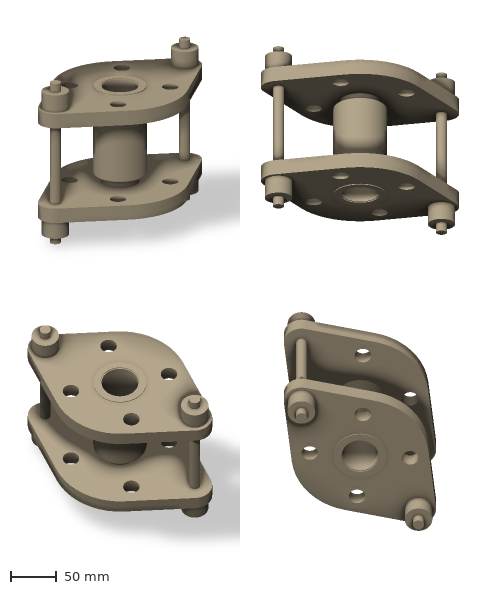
import cadquery as cq
import math

plate_length = 230.9
plate_width = 150.0
plate_outer_z = 64.0
plate_inner_z = 47.0
plate_tip_radius = 19.2
raised_face_height = 1.0
raised_face_radius = 29.0

bolt_hole_spacing = 77.8
bolt_hole_diameter = 18.0

body_radius = 29.3
neck_radius = 21.5
shoulder_bottom_z = 36.2
shoulder_top_z = 42.0
bore_radius = 20.0
bore_mouth_radius = 21.2

rod_length = 188.0
rod_radius = 6.0
nut_radius = 15.0
nut_height = 20.0

face_z = plate_outer_z + raised_face_height
plate_thickness = plate_outer_z - plate_inner_z
plate_side_radius = plate_width / 2
rod_y = plate_length / 2 - plate_tip_radius


def make_plate():
    """Upper plate: tip arcs and side arcs joined by tangent lines, with bolt holes."""
    tangent_sin = (plate_side_radius - plate_tip_radius) / rod_y
    tangent_cos = math.sqrt(1 - tangent_sin**2)
    side_x = plate_side_radius * tangent_cos
    side_y = plate_side_radius * tangent_sin
    tip_x = plate_tip_radius * tangent_cos
    tip_y = rod_y + plate_tip_radius * tangent_sin
    return (
        cq.Workplane("XY")
        .workplane(offset=plate_inner_z)
        .moveTo(side_x, -side_y)
        .threePointArc((plate_side_radius, 0), (side_x, side_y))
        .lineTo(tip_x, tip_y)
        .threePointArc((0, plate_length / 2), (-tip_x, tip_y))
        .lineTo(-side_x, side_y)
        .threePointArc((-plate_side_radius, 0), (-side_x, -side_y))
        .lineTo(-tip_x, -tip_y)
        .threePointArc((0, -plate_length / 2), (tip_x, -tip_y))
        .close()
        .extrude(plate_thickness)
        .faces(">Z")
        .workplane()
        .rect(bolt_hole_spacing, bolt_hole_spacing, forConstruction=True)
        .vertices()
        .hole(bolt_hole_diameter)
    )


def make_barrel():
    """Full-height cylinder between the two shoulders."""
    return (
        cq.Workplane("XY")
        .workplane(offset=-shoulder_bottom_z)
        .circle(body_radius)
        .extrude(2 * shoulder_bottom_z)
    )


def make_body_end():
    """Upper body end: rounded shoulder, filleted neck and raised face."""
    round_radius = (shoulder_top_z - shoulder_bottom_z) / 2
    arc_mid = round_radius * math.sqrt(0.5)
    ledge_z = shoulder_bottom_z + round_radius
    ledge_outer = body_radius - round_radius
    ledge_inner = neck_radius + round_radius
    return (
        cq.Workplane("XZ")
        .moveTo(0, shoulder_bottom_z)
        .lineTo(body_radius, shoulder_bottom_z)
        .threePointArc((ledge_outer + arc_mid, shoulder_bottom_z + arc_mid), (ledge_outer, ledge_z))
        .lineTo(ledge_inner, ledge_z)
        .threePointArc((ledge_inner - arc_mid, shoulder_top_z - arc_mid), (neck_radius, shoulder_top_z))
        .lineTo(neck_radius, plate_outer_z)
        .lineTo(raised_face_radius, plate_outer_z)
        .lineTo(raised_face_radius, face_z)
        .lineTo(0, face_z)
        .close()
        .revolve(360, (0, 0, 0), (0, 1, 0))
    )


def make_bore_mouth():
    """Slightly wider bore mouth, as deep as the raised face is high."""
    return (
        cq.Workplane("XY")
        .workplane(offset=face_z - raised_face_height)
        .circle(bore_mouth_radius)
        .extrude(raised_face_height)
    )


def make_cylinders(radius, bottom_z, height):
    """One upright cylinder at each of the two tie rod positions."""
    return (
        cq.Workplane("XY")
        .workplane(offset=bottom_z)
        .pushPoints([(0, rod_y), (0, -rod_y)])
        .circle(radius)
        .extrude(height)
    )


def with_mirror(shape):
    """The shape together with its mirror image below the mid-plane."""
    return shape.union(shape.mirror("XY"))


upper_half = make_plate().union(make_body_end())
upper_half = upper_half.union(make_cylinders(nut_radius, plate_outer_z, nut_height))
rods = make_cylinders(rod_radius, -rod_length / 2, rod_length)
bore = cq.Workplane("XY").workplane(offset=-face_z).circle(bore_radius).extrude(2 * face_z)

result = make_barrel().union(with_mirror(upper_half)).union(rods)
result = result.cut(bore).cut(with_mirror(make_bore_mouth()))